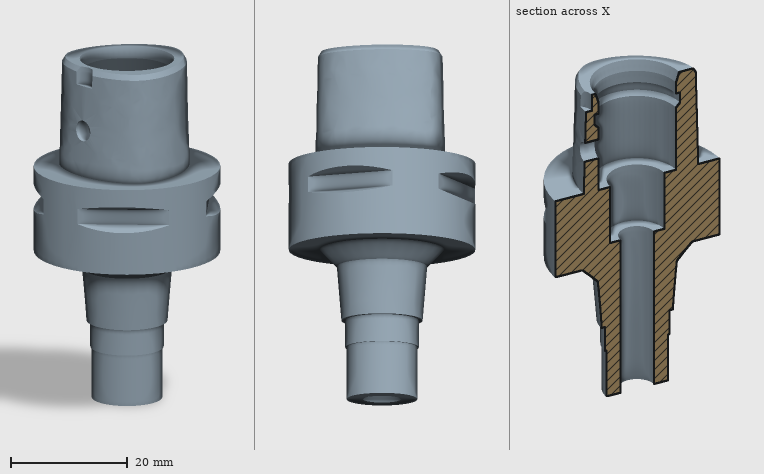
import cadquery as cq
import math

total_height = 60.0
spigot_top = 9.0
collar_top = 13.7
taper_top = 23.05
flange_bottom = 26.0
flange_top = 41.0

spigot_radius = 6.05
collar_radius = 6.3
taper_small_radius = 6.95
taper_large_radius = 7.75
flange_diameter = 32.0
flange_radius = flange_diameter / 2
neck_top_radius = taper_large_radius + flange_bottom - taper_top

shank_base_radius = 11.15
shank_draft = 0.5
shank_eccentricity = 0.7
chamfer_height = 0.9
chamfer_width = 0.55
outline_points = 60

mouth_radius = 8.1
bore_radius = 7.5
groove_radius = 8.3
thread_radius = 5.2
through_radius = 3.25
mouth_depth = 1.9
lip_depth = 4.15
groove_depth = 6.05
groove_exit_depth = groove_depth + groove_radius - bore_radius
bore_floor = flange_top
thread_floor = 30.0

slot_count = 4
slot_floor_distance = 13.9
slot_floor_height = 2.65
slot_flare_angle = 25.0
slot_mid_height = 35.65

notch_radius = 2.5
notch_inner_distance = 8.9
notch_depth = 3.1

side_hole_radius = 1.8
side_hole_height = 49.0


def lobed_wire(mean_radius, height):
    """Closed constant-width curve with three lobes, one of them on +Y."""
    points = []
    for i in range(outline_points):
        angle = 2 * math.pi * i / outline_points
        along = mean_radius * math.cos(angle) + shank_eccentricity * (
            2 * math.cos(2 * angle) - math.cos(4 * angle)
        )
        across = mean_radius * math.sin(angle) - shank_eccentricity * (
            2 * math.sin(2 * angle) + math.sin(4 * angle)
        )
        points.append(cq.Vector(-across, along, height))
    return cq.Wire.assembleEdges([cq.Edge.makeSpline(points, periodic=True)])


def make_round_stages():
    outline = [
        (0, 0),
        (spigot_radius, 0),
        (spigot_radius, spigot_top),
        (collar_radius, spigot_top),
        (collar_radius, collar_top),
        (taper_small_radius, collar_top),
        (taper_large_radius, taper_top),
        (neck_top_radius, flange_bottom),
        (flange_radius, flange_bottom),
        (flange_radius, flange_top),
        (0, flange_top),
    ]
    return cq.Workplane("XZ").polyline(outline).close().revolve(360, (0, 0), (0, 1))


def make_shank():
    rim_radius = shank_base_radius - shank_draft
    chamfer_start = total_height - chamfer_height
    base = lobed_wire(shank_base_radius, flange_top)
    rim = lobed_wire(rim_radius, chamfer_start)
    top = lobed_wire(rim_radius - chamfer_width, total_height)
    wall = cq.Solid.makeLoft([base, rim], True)
    chamfer = cq.Solid.makeLoft([rim, top], True)
    return cq.Workplane(wall).union(cq.Workplane(chamfer))


def make_bore():
    outline = [
        (0, 0),
        (through_radius, 0),
        (through_radius, thread_floor),
        (thread_radius, thread_floor),
        (thread_radius, bore_floor),
        (bore_radius, bore_floor),
        (bore_radius, total_height - groove_exit_depth),
        (groove_radius, total_height - groove_depth),
        (groove_radius, total_height - lip_depth),
        (bore_radius, total_height - lip_depth),
        (bore_radius, total_height - mouth_depth),
        (mouth_radius, total_height),
        (0, total_height),
    ]
    return cq.Workplane("XZ").polyline(outline).close().revolve(360, (0, 0), (0, 1))


def make_slot():
    """Slot cutter on the +X side, running along Y right across the flange."""
    reach = flange_radius - slot_floor_distance
    half_floor = slot_floor_height / 2
    half_mouth = half_floor + reach * math.tan(math.radians(slot_flare_angle))
    profile = [
        (slot_floor_distance, -half_floor),
        (flange_radius, -half_mouth),
        (flange_radius, half_mouth),
        (slot_floor_distance, half_floor),
    ]
    slot = cq.Workplane("XZ").polyline(profile).close().extrude(flange_radius, both=True)
    return slot.translate((0, 0, slot_mid_height))


def make_notch():
    centre_y = -(notch_inner_distance + notch_radius)
    plane = cq.Workplane("XY", origin=(0, centre_y, total_height - notch_depth))
    return plane.circle(notch_radius).extrude(notch_depth)


def make_side_hole():
    """Round cutter from the tool axis out through the -Y wall of the shank."""
    plane = cq.Workplane("XZ", origin=(0, 0, side_hole_height))
    return plane.circle(side_hole_radius).extrude(flange_radius)


result = make_round_stages().union(make_shank())
result = result.cut(make_bore())
for i in range(slot_count):
    slot_angle = (i + 0.5) * 360 / slot_count
    result = result.cut(make_slot().rotate((0, 0, 0), (0, 0, 1), slot_angle))
result = result.cut(make_notch())
result = result.cut(make_side_hole())